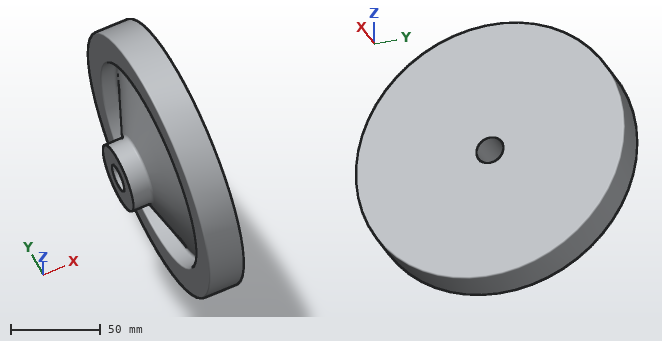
import cadquery as cq

total_width = 40.0
rim_radius = 80.0
rim_width = 21.3
hub_radius = 20.0
hub_length = 12.0
bore_radius = 8.0
recess_radius = 61.6
web_slope = 0.41
edge_round = 1.0
hub_root_round = 1.6
recess_root_round = 1.8

hub_face_x = -total_width / 2
back_x = total_width / 2
rim_face_x = back_x - rim_width
web_start_x = hub_face_x + hub_length
web_end_x = web_start_x + web_slope * (recess_radius - hub_radius)

profile = (
    cq.Workplane("XY")
    .moveTo(hub_face_x, bore_radius)
    .lineTo(hub_face_x, hub_radius)
    .lineTo(web_start_x, hub_radius)
    .lineTo(web_end_x, recess_radius)
    .lineTo(rim_face_x, recess_radius)
    .lineTo(rim_face_x, rim_radius)
    .lineTo(back_x, rim_radius)
    .lineTo(back_x, bore_radius)
    .close()
)
wheel = profile.revolve(360, (0, 0, 0), (1, 0, 0))


def round_circle(body, x, radius, round_radius):
    """Round the outermost circular edge at the given axial position and radius."""
    margin = 0.02
    selector = cq.selectors.BoxSelector(
        (x - margin, -radius - margin, -radius - margin),
        (x + margin, radius + margin, radius + margin),
        boundingbox=True,
    )
    edge = body.edges(selector).edges(cq.selectors.RadiusNthSelector(-1))
    return body.newObject(edge.vals()).fillet(round_radius)


wheel = round_circle(wheel, web_start_x, hub_radius, hub_root_round)
wheel = round_circle(wheel, web_end_x, recess_radius, recess_root_round)
wheel = round_circle(wheel, rim_face_x, recess_radius, edge_round)
wheel = round_circle(wheel, rim_face_x, rim_radius, edge_round)
wheel = round_circle(wheel, back_x, rim_radius, edge_round)

result = wheel